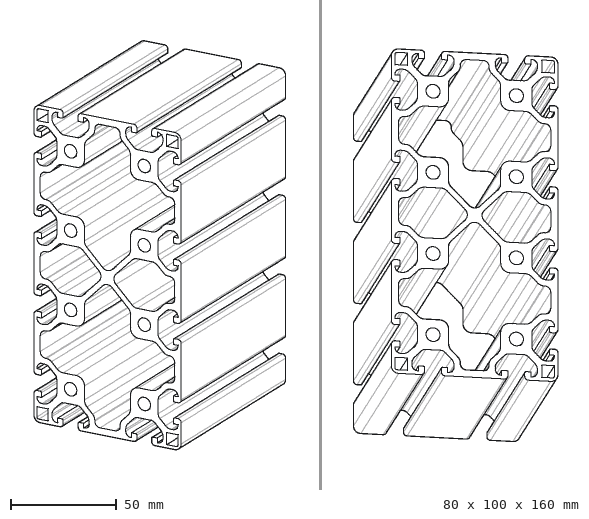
import cadquery as cq
import math

COLUMNS = 2
ROWS = 4
PITCH = 40.0

WIDTH = COLUMNS * PITCH
LENGTH = 100.0
HEIGHT = ROWS * PITCH
CORNER_RADIUS = 3.5

CELL = PITCH / 2
CORE_HALF = 7.5
CORE_HOLE_DIAMETER = 6.7
CORE_ROUND = 4.5

SLOT_HALF_OPENING = 4.0
LIP_DEPTH = 4.2
CUT_MARGIN = 1.6
LIP_WIDTH = 3.0
LIP_MOUTH_ROUND = 1.8
LIP_INNER_ROUND = 0.6
UNDERCUT_DEPTH = 1.8
SLOT_HALF_WIDTH = 10.0
SLOT_DEPTH = CELL - CORE_HALF
SLOT_FLANK_SUM = 17.3
UNDERCUT_ROUND = 2.7
SLOT_FLANK_ROUND = 4.3
SLOT_FLOOR_ROUND = 3.2

SKIN = 3.5
WALL = 3.0
WEB = 2.9
FLANK_HALF_WIDTH = SLOT_HALF_WIDTH + WALL
FLANK_SUM = SLOT_FLANK_SUM + WALL * math.sqrt(2)
WEB_OFFSET = WEB / math.sqrt(2)
SKIN_ROUND = 2.9
FLANK_ROUND = 4.0
FLANK_CORE_ROUND = 4.6
WEB_CROSS_ROUND = 3.7
WEB_CORE_ROUND = 4.0

CORNER_HOLLOW_START = 1.8
CORNER_HOLLOW_END = 7.8
CORNER_HOLLOW_ROUND = 1.0


def rounded_prism(corners):
    """Extrude along Y a closed XZ outline of (x, z, radius) corners, centred on Y = 0."""
    stretches = []
    for i, (x, z, radius) in enumerate(corners):
        corner = cq.Vector(x, z)
        to_last = (cq.Vector(*corners[i - 1][:2]) - corner).normalized()
        to_next = (cq.Vector(*corners[(i + 1) % len(corners)][:2]) - corner).normalized()
        half_angle = to_last.getAngle(to_next) / 2
        tangent = radius / math.tan(half_angle)
        middle = radius / math.sin(half_angle) - radius
        bisector = (to_last + to_next).normalized()
        stretches.append((
            corner + to_last * tangent,
            corner + bisector * middle,
            corner + to_next * tangent,
        ))
    outline = cq.Workplane("XZ", origin=(0, LENGTH / 2, 0)).moveTo(*stretches[0][0].toTuple()[:2])
    for i, (start, middle, end) in enumerate(stretches):
        if i > 0:
            outline = outline.lineTo(start.x, start.y)
        if corners[i][2] > 0:
            outline = outline.threePointArc((middle.x, middle.y), (end.x, end.y))
    return outline.close().extrude(LENGTH)


def mirrored_x(corners):
    return [(-x, z, radius) for x, z, radius in reversed(corners)]


def mirrored_z(corners):
    return [(x, -z, radius) for x, z, radius in reversed(corners)]


def slot():
    """T-slot opening upwards, with its mouth centred on the origin."""
    rim = SLOT_HALF_OPENING + 2 * LIP_MOUTH_ROUND
    lip_end = SLOT_HALF_OPENING + LIP_WIDTH
    right_side = [
        (rim, CUT_MARGIN, 0),
        (rim, 0, 0),
        (SLOT_HALF_OPENING, 0, LIP_MOUTH_ROUND),
        (SLOT_HALF_OPENING, -LIP_DEPTH, LIP_INNER_ROUND),
        (lip_end, -LIP_DEPTH, 0),
        (lip_end, -UNDERCUT_DEPTH, 0),
        (SLOT_HALF_WIDTH, -UNDERCUT_DEPTH, UNDERCUT_ROUND),
        (SLOT_HALF_WIDTH, SLOT_HALF_WIDTH - SLOT_FLANK_SUM, SLOT_FLANK_ROUND),
        (SLOT_FLANK_SUM - SLOT_DEPTH, -SLOT_DEPTH, SLOT_FLOOR_ROUND),
    ]
    return rounded_prism(right_side + mirrored_x(right_side))


def flank(skin_first):
    """Corners of the wall beside a slot as (distance from slot middle, depth, radius)."""
    corners = [
        (FLANK_HALF_WIDTH, SKIN, SKIN_ROUND),
        (FLANK_HALF_WIDTH, FLANK_SUM - FLANK_HALF_WIDTH, FLANK_ROUND),
        (CORE_HALF, FLANK_SUM - CORE_HALF, FLANK_CORE_ROUND),
    ]
    return corners if skin_first else corners[::-1]


def side_flank(slot_z, direction, skin_first):
    """Corners of a slot wall at the +X face, on the upper (1) or lower (-1) side of a slot."""
    return [
        (WIDTH / 2 - depth, slot_z + direction * offset, radius)
        for offset, depth, radius in flank(skin_first)
    ]


def end_hollow():
    """Large hollow between the crossing webs and the top face."""
    low, high = CELL, CELL + PITCH
    core_x = CELL - CORE_HALF
    top_flank = [
        (CELL - offset, HEIGHT / 2 - depth, radius) for offset, depth, radius in flank(False)
    ]
    right_side = (
        [(core_x, core_x + WEB_OFFSET, WEB_CORE_ROUND), (core_x, low + CORE_HALF, CORE_ROUND)]
        + side_flank(low, 1, False)
        + side_flank(high, -1, True)
        + [(core_x, high - CORE_HALF, CORE_ROUND)]
        + top_flank
    )
    return rounded_prism([(0, WEB_OFFSET, WEB_CROSS_ROUND)] + right_side + mirrored_x(right_side))


def middle_hollow():
    """Hollow between the crossing webs and the +X face."""
    core_z = CELL - CORE_HALF
    upper_side = [(core_z + WEB_OFFSET, core_z, WEB_CORE_ROUND)] + side_flank(CELL, -1, False)
    return rounded_prism([(WEB_OFFSET, 0, WEB_CROSS_ROUND)] + upper_side + mirrored_z(upper_side))


def corner_hollow():
    """Square hollow in the +X +Z corner."""
    inner_x, outer_x = WIDTH / 2 - CORNER_HOLLOW_END, WIDTH / 2 - CORNER_HOLLOW_START
    inner_z, outer_z = HEIGHT / 2 - CORNER_HOLLOW_END, HEIGHT / 2 - CORNER_HOLLOW_START
    return rounded_prism([
        (inner_x, inner_z, 0),
        (outer_x, inner_z, 0),
        (outer_x, outer_z, CORNER_HOLLOW_ROUND),
        (inner_x, outer_z, 0),
    ])


def turned(shape, angle):
    return shape.rotate((0, 0, 0), (0, 1, 0), angle)


body = cq.Workplane("XY").box(WIDTH, LENGTH, HEIGHT).edges("|Y").fillet(CORNER_RADIUS)

core_xs = [CELL - WIDTH / 2 + column * PITCH for column in range(COLUMNS)]
core_zs = [CELL - HEIGHT / 2 + row * PITCH for row in range(ROWS)]

for x in core_xs:
    body = body.cut(slot().translate((x, 0, HEIGHT / 2)))
    body = body.cut(turned(slot(), 180).translate((x, 0, -HEIGHT / 2)))
for z in core_zs:
    body = body.cut(turned(slot(), 90).translate((WIDTH / 2, 0, z)))
    body = body.cut(turned(slot(), -90).translate((-WIDTH / 2, 0, z)))

for angle in (0, 180):
    body = body.cut(turned(end_hollow(), angle))
    body = body.cut(turned(middle_hollow(), angle))

for hollow in (corner_hollow(), corner_hollow().mirror("YZ")):
    body = body.cut(hollow).cut(hollow.mirror("XY"))

holes = (
    cq.Workplane("XZ", origin=(0, LENGTH / 2, 0))
    .pushPoints([(x, z) for x in core_xs for z in core_zs])
    .circle(CORE_HOLE_DIAMETER / 2)
    .extrude(LENGTH)
)
result = body.cut(holes)